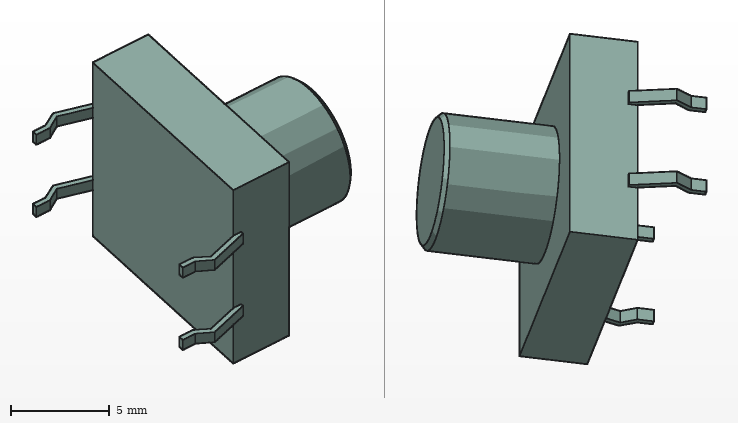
import cadquery as cq

body_side = 12.0
body_depth = 3.54

button_diameter = 7.08
button_height = 5.96
button_chamfer = 0.25

pin_span = 13.77
pin_width = 0.7
pin_pitch = 5.0
pin_thickness = 0.3
slanted_thickness = 0.32
pin_overlap = 0.5
pin_length = 3.5
bend_drop = 1.85
tail_drop = 2.7
tail_inner_drop = 2.63
top_projection = 0.17
tail_inset = 0.5


def make_body():
    return cq.Workplane("XY").box(body_side, body_depth, body_side).translate((0, body_depth / 2, 0))


def make_button():
    button = cq.Workplane("XZ", origin=(0, body_depth, 0)).circle(button_diameter / 2).extrude(-button_height)
    return button.faces(">Y").edges().chamfer(button_chamfer)


def make_pin(z_center):
    """Terminal on the +X side; its inner top corner is buried in the housing."""
    top_x = body_side / 2 + top_projection
    bend_x = pin_span / 2
    tail_x = bend_x - tail_inset
    profile = [
        (top_x, pin_overlap),
        (bend_x, -bend_drop),
        (tail_x, -tail_drop),
        (tail_x, -pin_length),
        (tail_x - pin_thickness, -pin_length),
        (tail_x - pin_thickness, -tail_inner_drop),
        (bend_x - slanted_thickness, -bend_drop),
        (top_x - slanted_thickness, pin_overlap),
    ]
    strip = cq.Workplane("XY").polyline(profile).close().extrude(pin_width)
    return strip.translate((0, 0, z_center - pin_width / 2))


result = make_body().union(make_button())
for z_center in (-pin_pitch / 2, pin_pitch / 2):
    pin = make_pin(z_center)
    result = result.union(pin).union(pin.mirror("YZ"))